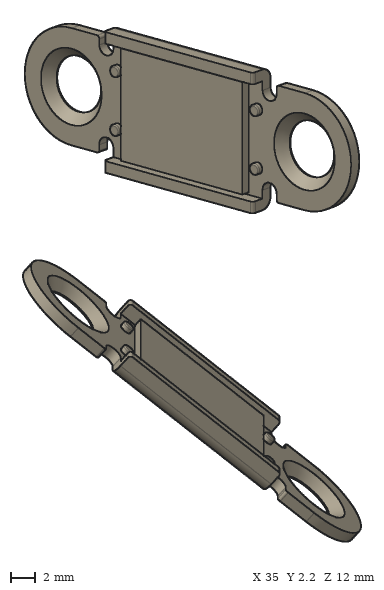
import cadquery as cq

length = 35.0
tab_radius = 5.0
plate_thickness = 1.0
hole_x = length / 2 - tab_radius
bore_radius = 2.38
countersink_radius = 3.25
bore_land = 0.1

height = 12.0
depth = 2.2
flange_length = 16.0
flange_thickness = height / 2 - tab_radius
bend_radius = flange_thickness
flange_corner_radius = 0.28

notch_width = 1.5
notch_bottom_z = 3.5
notch_x = flange_length / 2 + notch_width / 2
tab_corner_radius = 0.25

pad_length = 13.0
pad_height = 9.6
pad_top = 1.8
pin_x = 7.5
pin_z = 2.502
pin_radius = 0.5
pin_top = 1.5
pin_edge_radius = 0.1


def front_plane(offset=0.0):
    """Plane parallel to XZ whose extrusions run toward -Y."""
    return cq.Workplane("XZ", origin=(0, -offset, 0))


def make_plate():
    plate = front_plane().slot2D(length, 2 * tab_radius).extrude(plate_thickness)
    for side in (-1, 1):
        notch_round_z = side * (notch_bottom_z + notch_width / 2)
        notch_end_z = side * height / 2
        for end in (-1, 1):
            round_end = (
                front_plane()
                .center(end * notch_x, notch_round_z)
                .circle(notch_width / 2)
                .extrude(plate_thickness)
            )
            straight = (
                front_plane()
                .center(end * notch_x, (notch_round_z + notch_end_z) / 2)
                .rect(notch_width, abs(notch_end_z - notch_round_z))
                .extrude(plate_thickness)
            )
            plate = plate.cut(round_end).cut(straight)
            tab_corner = (end * (notch_x + notch_width / 2), -plate_thickness / 2, side * tab_radius)
            nearest_edge = cq.selectors.NearestToPointSelector(tab_corner)
            plate = plate.edges("|Y").edges(nearest_edge).fillet(tab_corner_radius)
    return plate


def make_countersunk_hole(x):
    """Conical hole with a short straight land at the back face."""
    profile = (
        cq.Workplane("XY", origin=(x, 0, 0))
        .polyline([
            (0, 0),
            (bore_radius, 0),
            (bore_radius, -bore_land),
            (countersink_radius, -plate_thickness),
            (0, -plate_thickness),
        ])
        .close()
    )
    return profile.revolve(360, (0, 0, 0), (0, 1, 0))


def make_upper_flange():
    bar = cq.Workplane("XY").box(flange_length, depth, flange_thickness, centered=(True, False, False))
    bar = bar.translate((0, -depth, tab_radius))
    bar = bar.edges("|Z and <Y").fillet(flange_corner_radius)
    bend_keep = (
        cq.Workplane("YZ", origin=(-flange_length / 2, 0, 0))
        .moveTo(0, tab_radius)
        .threePointArc(
            (-bend_radius * (1 - 0.5**0.5), tab_radius + bend_radius * 0.5**0.5),
            (-bend_radius, height / 2),
        )
        .lineTo(-depth, height / 2)
        .lineTo(-depth, tab_radius)
        .close()
        .extrude(flange_length)
    )
    return bar.intersect(bend_keep)


def make_pad():
    return front_plane(plate_thickness).rect(pad_length, pad_height).extrude(pad_top - plate_thickness)


def make_pins():
    return (
        front_plane(plate_thickness)
        .rect(2 * pin_x, 2 * pin_z, forConstruction=True)
        .vertices()
        .circle(pin_radius)
        .extrude(pin_top - plate_thickness)
        .faces("<Y")
        .edges()
        .fillet(pin_edge_radius)
    )


upper_flange = make_upper_flange()
lower_flange = upper_flange.mirror("XY")
result = make_plate().union(upper_flange).union(lower_flange).union(make_pad()).union(make_pins())
for end in (-1, 1):
    result = result.cut(make_countersunk_hole(end * hole_x))